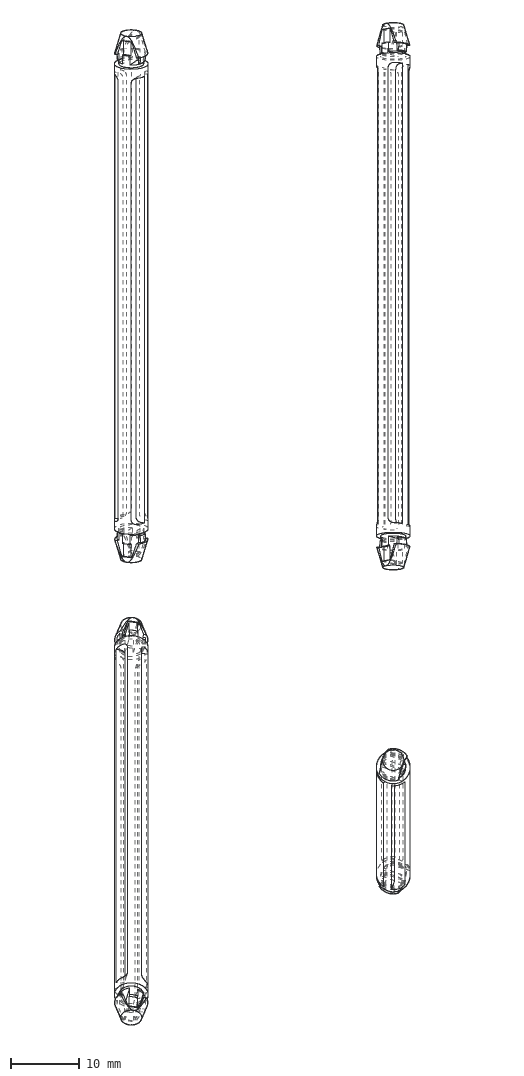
import cadquery as cq

total_length = 81.8
plug_height = 4.75
body_diameter = 5.0
body_half_length = total_length / 2 - plug_height

collar_height = 1.5
groove_half_length = body_half_length - collar_height
web_width = 2.1
rib_thickness = 1.2
groove_end_radius = 0.7

seat_diameter = 3.7
seat_height = 0.4
stem_thickness = 1.2
stem_shoulder_height = 1.8
stem_upper_depth = 2.8

tip_diameter = 3.1
head_base_width = 2.95
barb_diameter = 4.9
barb_height = 1.6
leg_width = 1.7
leg_gap = 0.2
leg_root_radius = 2.1
leg_end_radius = 2.05

window_lower_half_width = 1.55
window_upper_half_width = 0.8
window_roof_thickness = 0.8


def make_groove(x_side, y_side):
    """Corner groove whose ends curve out of the web wall."""
    depth = body_diameter
    groove = (
        cq.Workplane("XY")
        .box(depth, depth, 2 * groove_half_length)
        .edges("|Y and <X")
        .fillet(groove_end_radius)
        .translate(((web_width + depth) / 2, (rib_thickness + depth) / 2, 0))
    )
    if x_side < 0:
        groove = groove.mirror("YZ")
    if y_side < 0:
        groove = groove.mirror("XZ")
    return groove


def make_body():
    body = cq.Workplane("XY").circle(body_diameter / 2).extrude(body_half_length, both=True)
    for x_side in (-1, 1):
        for y_side in (-1, 1):
            body = body.cut(make_groove(x_side, y_side))
    return body


def make_head():
    """Conical head and hollow legs, with flattened Y flanks, from the leg ends to the tip."""
    leg_bottom = seat_height + leg_gap
    cone = (
        cq.Workplane("XZ")
        .moveTo(0, barb_height)
        .lineTo(barb_diameter / 2, barb_height)
        .lineTo(tip_diameter / 2, plug_height)
        .lineTo(0, plug_height)
        .close()
        .revolve(360, (0, 0, 0), (0, 1, 0))
    )
    flank_limits = (
        cq.Workplane("YZ")
        .moveTo(-head_base_width / 2, barb_height)
        .lineTo(head_base_width / 2, barb_height)
        .lineTo(tip_diameter / 2, plug_height)
        .lineTo(-tip_diameter / 2, plug_height)
        .close()
        .extrude(body_diameter / 2, both=True)
    )
    cone = cone.intersect(flank_limits)
    legs = (
        cq.Workplane("XZ")
        .moveTo(0, leg_bottom)
        .lineTo(leg_end_radius, leg_bottom)
        .lineTo(leg_root_radius, barb_height)
        .lineTo(0, barb_height)
        .close()
        .revolve(360, (0, 0, 0), (0, 1, 0))
    )
    legs = legs.intersect(cq.Workplane("XY").box(body_diameter, leg_width, 2 * plug_height))
    window_top = plug_height - window_roof_thickness
    window = (
        cq.Workplane("XZ")
        .moveTo(-window_lower_half_width, 0)
        .lineTo(-window_lower_half_width, barb_height)
        .lineTo(-window_upper_half_width, window_top)
        .lineTo(window_upper_half_width, window_top)
        .lineTo(window_lower_half_width, barb_height)
        .lineTo(window_lower_half_width, 0)
        .close()
        .extrude(body_diameter / 2, both=True)
    )
    return cone.union(legs).cut(window)


def make_stem():
    """Flat stem with a wide foot and a narrower upper part that carries the head."""
    foot = (
        cq.Workplane("XY")
        .circle(seat_diameter / 2)
        .extrude(stem_shoulder_height)
        .intersect(cq.Workplane("XY").box(stem_thickness, seat_diameter, 2 * plug_height))
    )
    upper_height = plug_height - window_roof_thickness / 2
    upper = (
        cq.Workplane("XY")
        .rect(stem_thickness, stem_upper_depth)
        .extrude(upper_height)
        .intersect(cq.Workplane("XY").circle(tip_diameter / 2).extrude(plug_height))
    )
    return foot.union(upper)


def make_plug():
    seat = cq.Workplane("XY").circle(seat_diameter / 2).extrude(seat_height)
    plug = seat.union(make_stem()).union(make_head())
    return plug.translate((0, 0, body_half_length))


top_plug = make_plug()
result = make_body().union(top_plug).union(top_plug.mirror("XY"))